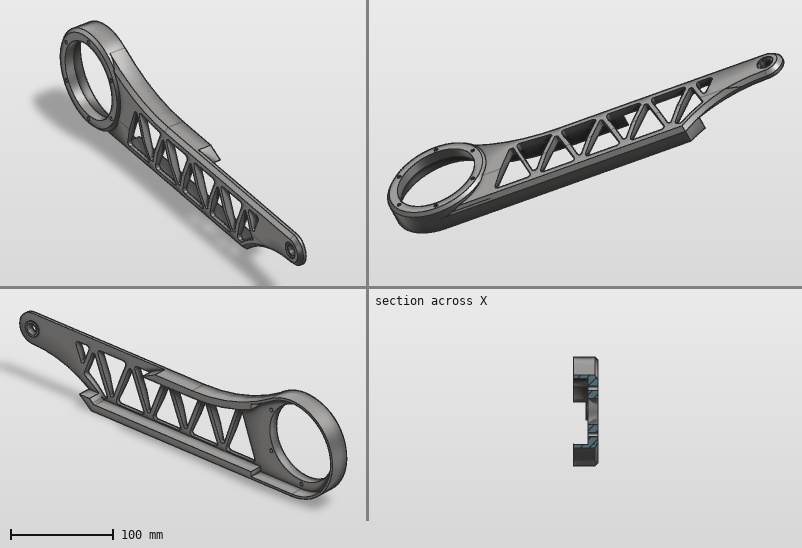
import cadquery as cq
import math


length = 419.5
depth = 24.5
ring_diameter = 106.0
tip_diameter = 34.0
ring_radius = ring_diameter / 2
tip_radius = tip_diameter / 2
tip_x = length - ring_radius - tip_radius

plate_front = 2.5
plate_back = 10.0
arm_chamfer = 4.0
ring_chamfer = 3.5
rim_wall = 8.0
ring_rim_wall = 2.5
rim_corner_fillet = 5.0

crease_z = -19.7
lower_face_tilt = 8.0

top_curve_radius = 197.0
bottom_corner_x = 261.0

upper_rim_end_x = 178.0
upper_ramp_length = 16.8
lower_rim_top_z = -40.3

bore_radius = 41.0
screw_count = 6
screw_circle_radius = 45.5
screw_hole_radius = 1.9
first_screw_angle = 90.0

tip_hole_diameter = 12.0
tip_boss_radius = 8.5
tip_boss_height = 1.5

bay_count = 4
bay_pitch = 48.0
first_bay_x = 127.0
edge_run_per_rise = 0.4
strut_gap = 5.0
window_base_fillet = 3.5
window_apex_fillet = 2.0
window_top_z = 7.0
window_margin = 9.2
window_bottom_z = window_margin - ring_radius
upright_apex_z = 5.0
inverted_apex_z = upright_apex_z - (bay_pitch / 2 - strut_gap) / edge_run_per_rise
upright_half_width = edge_run_per_rise * (upright_apex_z - window_bottom_z)
inverted_half_width = edge_run_per_rise * (window_top_z - inverted_apex_z)

entry_x = first_bay_x - bay_pitch
entry_base_half = 20.0
entry_top_half = 2.0
entry_strut_gap = 3.8
entry_peak_z = 11.5
entry_low_z = -37.5

small_window_width = 20.0

curve_run = tip_x - bottom_corner_x
curve_rise = ring_radius - tip_radius
bottom_curve_radius = (curve_run**2 + curve_rise**2) / (2 * curve_rise)
bottom_curve_z = -tip_radius - bottom_curve_radius

top_curve_z = tip_radius + top_curve_radius
top_curve_x = math.sqrt((ring_radius + top_curve_radius) ** 2 - top_curve_z**2)
tangent_angle = math.atan2(top_curve_z, top_curve_x)


def sketch(y):
    """XZ work plane at depth y; a negative extrusion runs towards +Y."""
    return cq.Workplane("XZ", origin=(0, y, 0))


def disc(x, z, radius, y_start, y_end):
    return sketch(y_start).center(x, z).circle(radius).extrude(y_start - y_end)


def prism(points, y_start, y_end):
    return sketch(y_start).polyline(points).close().extrude(y_start - y_end)


def polar(x, z, radius, angle):
    return (x + radius * math.cos(angle), z + radius * math.sin(angle))


def arm_profile(inset, y_start, y_end):
    """Arm outline moved inwards by inset and extruded between two depths."""
    ring = ring_radius - inset
    tip = tip_radius - inset
    top = top_curve_radius + inset
    bottom = bottom_curve_radius + inset

    top_mid_angle = (tangent_angle + math.pi + 3 * math.pi / 2) / 2
    corner_angle = math.pi - math.asin((-ring - bottom_curve_z) / bottom)
    bottom_mid_angle = (corner_angle + math.pi / 2) / 2
    return (
        sketch(y_start)
        .moveTo(0, -ring)
        .threePointArc((-ring, 0), polar(0, 0, ring, tangent_angle))
        .threePointArc(polar(top_curve_x, top_curve_z, top, top_mid_angle), (top_curve_x, tip))
        .lineTo(tip_x, tip)
        .threePointArc((tip_x + tip, 0), (tip_x, -tip))
        .threePointArc(
            polar(tip_x, bottom_curve_z, bottom, bottom_mid_angle),
            polar(tip_x, bottom_curve_z, bottom, corner_angle),
        )
        .close()
        .extrude(y_start - y_end)
    )


def arm_slice(side_points):
    """Part of the full-depth arm inside a YZ side shape."""
    keep = cq.Workplane("YZ").polyline(side_points).close().extrude(length, both=True)
    return arm_profile(0, plate_front, depth).intersect(keep)


def solid_arm():
    """Full-depth arm with its leaning lower front and chamfered front edge."""
    lean = (ring_radius + crease_z) * math.tan(math.radians(lower_face_tilt))
    upper = arm_slice([
        (plate_front, crease_z),
        (plate_front, ring_radius),
        (depth, ring_radius),
        (depth, crease_z),
    ])
    lower = arm_slice([
        (plate_front, crease_z),
        (plate_front + lean, -ring_radius),
        (depth, -ring_radius),
        (depth, crease_z),
    ])
    upper = upper.faces("<Y").edges("not <Z").chamfer(arm_chamfer)
    lower = lower.faces("<Y").edges("not >Z").chamfer(arm_chamfer)
    return upper.union(lower).clean()


def solid_ring():
    return disc(0, 0, ring_radius, 0, depth).faces("<Y").edges().chamfer(ring_chamfer)


def rear_pocket():
    """Space behind the plate, leaving the rim along the ring and the truss."""
    truss = arm_profile(rim_wall, plate_back, depth)
    truss = truss.edges("|Y").edges("<Z").edges(">X").fillet(rim_corner_fillet)

    ring_zone = sketch(plate_back).rect(2 * ring_radius, 2 * ring_radius).extrude(plate_back - depth)
    ring = arm_profile(ring_rim_wall, plate_back, depth).intersect(ring_zone)

    ramp_x = upper_rim_end_x + upper_ramp_length
    ramp_z = tip_radius - rim_wall
    beyond_rim = prism(
        [
            (upper_rim_end_x, tip_radius),
            (ramp_x, ramp_z),
            (ramp_x, lower_rim_top_z),
            (length, lower_rim_top_z),
            (length, tip_radius),
        ],
        plate_back,
        depth,
    )
    return truss.union(ring).union(beyond_rim)


def screw_holes():
    return (
        sketch(0)
        .polarArray(screw_circle_radius, first_screw_angle, 360, screw_count)
        .circle(screw_hole_radius)
        .extrude(-depth)
    )


def rounded(window, base_end):
    """Round the corners at the base end of a window and, more tightly, all others."""
    window = window.edges("|Y").edges(f"not {base_end}").fillet(window_apex_fillet)
    return window.edges("|Y").edges(base_end).fillet(window_base_fillet)


def upright_triangle(x):
    return prism(
        [
            (x - upright_half_width, window_bottom_z),
            (x, upright_apex_z),
            (x + upright_half_width, window_bottom_z),
        ],
        0,
        plate_back,
    )


def inverted_triangle(left_x, width):
    drop = width / 2 / edge_run_per_rise
    return prism(
        [
            (left_x, window_top_z),
            (left_x + width, window_top_z),
            (left_x + width / 2, window_top_z - drop),
        ],
        0,
        plate_back,
    )


def entry_upright():
    """Upright window with a cut-off top, next to the ring."""
    return prism(
        [
            (entry_x - entry_base_half, window_bottom_z),
            (entry_x - entry_top_half, window_top_z),
            (entry_x + entry_top_half, window_top_z),
            (entry_x + entry_base_half, window_bottom_z),
        ],
        0,
        plate_back,
    )


def entry_inverted():
    """Inverted window with a cut-off point and a top that rises towards the ring."""
    left_slope = (entry_base_half - entry_top_half) / (window_top_z - window_bottom_z)

    def left_x(z):
        return entry_x + entry_top_half + entry_strut_gap + left_slope * (window_top_z - z)

    def right_x(z):
        return first_bay_x - bay_pitch / 2 + edge_run_per_rise * (z - inverted_apex_z)

    return prism(
        [
            (left_x(entry_peak_z), entry_peak_z),
            (right_x(window_top_z), window_top_z),
            (right_x(entry_low_z), entry_low_z),
            (left_x(entry_low_z), entry_low_z),
        ],
        0,
        plate_back,
    )


def truss_windows():
    windows = [rounded(entry_upright(), "<Z"), rounded(entry_inverted(), ">Z")]
    inside_rim = arm_profile(rim_wall, 0, plate_back)
    for bay in range(bay_count):
        x = first_bay_x + bay * bay_pitch
        left_x = x + bay_pitch / 2 - inverted_half_width
        is_last = bay == bay_count - 1
        width = small_window_width if is_last else 2 * inverted_half_width
        windows.append(rounded(upright_triangle(x).intersect(inside_rim), "<Z"))
        windows.append(rounded(inverted_triangle(left_x, width), ">Z"))
    return windows


ring = solid_ring()
result = solid_arm().cut(ring).union(ring).cut(rear_pocket())
result = result.cut(disc(0, 0, bore_radius, 0, depth)).cut(screw_holes())
for window in truss_windows():
    result = result.cut(window)

boss_back = plate_back + tip_boss_height
result = result.union(disc(tip_x, 0, tip_boss_radius, plate_back - tip_boss_height, boss_back))
result = result.cut(disc(tip_x, 0, tip_boss_radius, plate_front, plate_front + tip_boss_height))
result = result.cut(disc(tip_x, 0, tip_hole_diameter / 2, plate_front, boss_back)).solids()